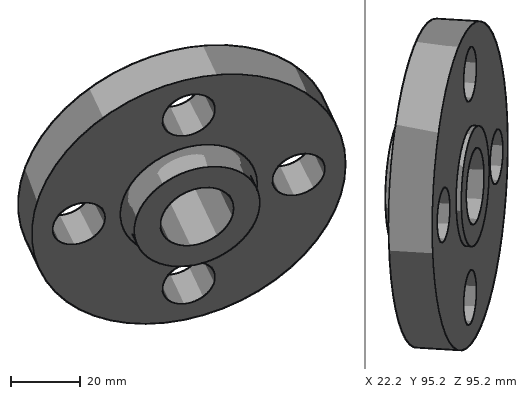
import cadquery as cq

flange_diameter = 95.25
flange_thickness = 13.0
face_diameter = 35.0
face_height = 1.5
hub_diameter = 38.1
hub_length = 7.7
bore_diameter = 22.2

flare_length = 3.1
flare_rise = 1.7

bolt_hole_diameter = 15.9
bolt_circle_diameter = 66.7
bolt_count = 4

flange_front = face_height
flange_back = flange_front + flange_thickness
flare_end = flange_back + flare_length
hub_end = flange_back + hub_length

hub_radius = hub_diameter / 2
flare_radius = (flare_length**2 + flare_rise**2) / (2 * flare_rise)
flare_mid_x = flange_back + flare_length / 2
flare_mid_rise = flare_radius - (flare_radius**2 - (flare_length / 2) ** 2) ** 0.5


def flange_body():
    """Revolve the half section, with the bore left open, about the X axis."""
    section = (
        cq.Workplane("XY")
        .moveTo(0, bore_diameter / 2)
        .lineTo(0, face_diameter / 2)
        .lineTo(flange_front, face_diameter / 2)
        .lineTo(flange_front, flange_diameter / 2)
        .lineTo(flange_back, flange_diameter / 2)
        .lineTo(flange_back, hub_radius + flare_rise)
        .threePointArc((flare_mid_x, hub_radius + flare_mid_rise), (flare_end, hub_radius))
        .lineTo(hub_end, hub_radius)
        .lineTo(hub_end, bore_diameter / 2)
        .close()
    )
    return section.revolve(360, (0, 0, 0), (1, 0, 0))


def bolt_holes():
    """Cylinders through the flange, evenly spaced on the bolt circle."""
    return (
        cq.Workplane("YZ")
        .polarArray(bolt_circle_diameter / 2, 0, 360, bolt_count)
        .circle(bolt_hole_diameter / 2)
        .extrude(hub_end)
    )


result = flange_body().cut(bolt_holes())